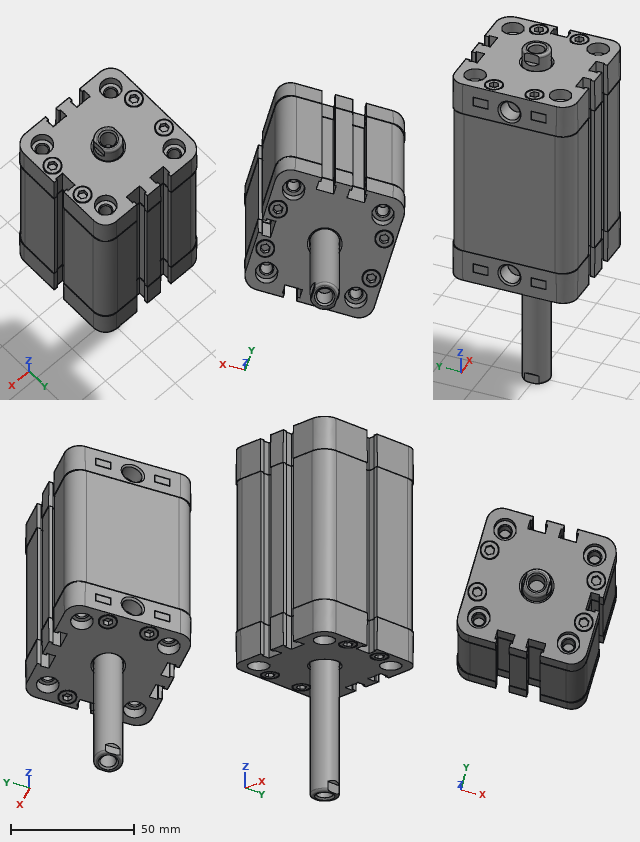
import cadquery as cq


total_length = 159.0
rod_stub_top = 6.8
rod_stub_bottom = 57.4
cap_height = 14.3
housing_top = total_length - rod_stub_top
housing_bottom = rod_stub_bottom
barrel_top = housing_top - cap_height
barrel_bottom = housing_bottom + cap_height
barrel_length = barrel_top - barrel_bottom

cap_width = 54.9
cap_corner_radius = 6.7
cap_draft = 0.7
barrel_width = 54.4
barrel_corner_radius = 7.0

slot_opening = 5.7
slot_inner_width = 6.8
slot_lip = 1.9
slot_floor = 22.1
cap_slot_clearance = 0.24
slot_spacing = 13.0
slot_overrun = 1.6

core_diameter = 40.0
cap_end_wall = 3.2

rod_diameter = 12.0
rod_tip_radius = 1.1
flat_width = 10.0
flat_length = 4.1
flat_overrun = 0.8
thread_diameter = 6.7
thread_depth = 12.0
thread_mouth_diameter = 8.3

rod_hole_diameter = 12.5
rod_hole_mouth_diameter = 14.0

mount_pitch = 37.8
mount_recess_diameter = 9.0
mount_recess_depth = 4.8
mount_thread_diameter = 5.0
mount_mouth_diameter = 5.9

screw_pitch_x = 45.0
screw_pitch_y = 18.0
screw_recess_diameter = 7.6
screw_face_diameter = 7.0
screw_groove_depth = 0.5
hex_across_corners = 4.1
hex_depth = 2.4

port_diameter = 8.6
port_mouth_diameter = 10.3
port_from_face = 8.0

label_length = 6.5
label_height = 4.0
label_spacing = 25.8
label_depth = 0.3


def slot_cutters(length, clearance):
    """Straight cutters for the five T-slots, standing on Z = 0, with clearance inside the lips."""
    face = cap_width / 2
    floor = slot_floor - clearance
    lip = face - slot_lip
    outside = face + slot_overrun
    half_opening = slot_opening / 2
    half_inner = slot_inner_width / 2 + clearance
    right_slot = (
        cq.Workplane("XY")
        .polyline([
            (floor, -half_inner),
            (lip, -half_inner),
            (lip, -half_opening),
            (outside, -half_opening),
            (outside, half_opening),
            (lip, half_opening),
            (lip, half_inner),
            (floor, half_inner),
        ])
        .close()
        .extrude(length)
    )
    cutters = [right_slot]
    for turn in (90, -90):
        turned_slot = right_slot.rotate((0, 0, 0), (0, 0, 1), turn)
        for x in (-slot_spacing / 2, slot_spacing / 2):
            cutters.append(turned_slot.translate((x, 0, 0)))
    return cutters


def slotted_block(width, corner_radius, length, draft, slot_clearance):
    """Square block with rounded corners, cut by the T-slots."""
    section = cq.Sketch().rect(width, width).vertices().fillet(corner_radius)
    block = cq.Workplane("XY").placeSketch(section).extrude(length, taper=draft)
    for cutter in slot_cutters(length, slot_clearance):
        block = block.cut(cutter)
    return block


def countersink(mouth_diameter, hole_diameter, face_z):
    """Cone at 45 degrees that narrows downwards from the face to the hole."""
    depth = (mouth_diameter - hole_diameter) / 2
    return cq.Solid.makeCone(
        mouth_diameter / 2, hole_diameter / 2, depth, pnt=cq.Vector(0, 0, face_z), dir=cq.Vector(0, 0, -1)
    )


def rod_passage():
    """Space for the core and the rod in a cap."""
    core_space = cq.Workplane("XY").circle(core_diameter / 2).extrude(cap_height - cap_end_wall)
    rod_hole = cq.Workplane("XY").circle(rod_hole_diameter / 2).extrude(cap_height)
    mouth = countersink(rod_hole_mouth_diameter, rod_hole_diameter, cap_height)
    return core_space.union(rod_hole).union(cq.Workplane(mouth))


def mounting_hole():
    """Countersunk threaded hole at the bottom of a round recess."""
    recess_floor = cap_height - mount_recess_depth
    thread = cq.Workplane("XY").circle(mount_thread_diameter / 2).extrude(cap_height)
    recess = (
        cq.Workplane("XY")
        .workplane(offset=recess_floor)
        .circle(mount_recess_diameter / 2)
        .extrude(mount_recess_depth)
    )
    mouth = countersink(mount_mouth_diameter, mount_thread_diameter, recess_floor)
    return thread.union(recess).union(cq.Workplane(mouth))


def screw_marking():
    """Groove around a flush screw head, with the chamfer of the head as inner wall, and its hex socket."""
    outer_radius = screw_recess_diameter / 2
    face_radius = screw_face_diameter / 2
    groove = (
        cq.Workplane("XZ")
        .moveTo(face_radius, cap_height)
        .lineTo(outer_radius, cap_height)
        .lineTo(outer_radius, cap_height - screw_groove_depth)
        .close()
        .revolve(360, (0, 0, 0), (0, 1, 0))
    )
    socket = (
        cq.Workplane("XY")
        .workplane(offset=cap_height - hex_depth)
        .transformed(rotate=(0, 0, 90))
        .polygon(6, hex_across_corners)
        .extrude(hex_depth)
    )
    return [groove, socket]


def air_port():
    """Countersunk cross hole from the -X face to the core."""
    side_face = -cap_width / 2
    chamfer = (port_mouth_diameter - port_diameter) / 2
    axis_z = cap_height - port_from_face
    hole = cq.Workplane("YZ", origin=(side_face, 0, axis_z)).circle(port_diameter / 2).extrude(cap_width / 2)
    mouth = cq.Solid.makeCone(
        port_mouth_diameter / 2,
        port_diameter / 2,
        chamfer,
        pnt=cq.Vector(side_face, 0, axis_z),
        dir=cq.Vector(1, 0, 0),
    )
    return hole.union(cq.Workplane(mouth))


def label_recesses():
    """Two shallow rectangular recesses beside the port."""
    return (
        cq.Workplane("YZ", origin=(-cap_width / 2, 0, cap_height / 2))
        .rarray(label_spacing, 1.6, 2, 1)
        .rect(label_length, label_height)
        .extrude(label_depth)
    )


def make_cap():
    """End cap with its joint face on Z = 0 and its outer face up."""
    cap = slotted_block(cap_width, cap_corner_radius, cap_height, cap_draft, cap_slot_clearance)
    cap = cap.cut(rod_passage())
    for side_x in (-1, 1):
        for side_y in (-1, 1):
            mount_place = (side_x * mount_pitch / 2, side_y * mount_pitch / 2, 0)
            cap = cap.cut(mounting_hole().translate(mount_place))
            screw_place = (side_x * screw_pitch_x / 2, side_y * screw_pitch_y / 2, 0)
            for cutter in screw_marking():
                cap = cap.cut(cutter.translate(screw_place))
    return cap.cut(air_port()).cut(label_recesses())


def make_barrel():
    """Slotted tube between the two caps."""
    barrel = slotted_block(barrel_width, barrel_corner_radius, barrel_length, draft=0, slot_clearance=0)
    bore = cq.Workplane("XY").circle(core_diameter / 2).extrude(barrel_length)
    return barrel.cut(bore).translate((0, 0, barrel_bottom))


def make_core():
    """Round core that fills the bore around the rod and closes the inner ends of the ports."""
    core_bottom = housing_bottom + cap_end_wall
    core_top = housing_top - cap_end_wall
    return (
        cq.Workplane("XY")
        .workplane(offset=core_bottom)
        .circle(core_diameter / 2)
        .circle(rod_diameter / 2)
        .extrude(core_top - core_bottom)
    )


def flat_cutter():
    """Cutter for the wrench flat on the +X side of the upper rod tip, with a 45 degree run-out."""
    half_flat = flat_width / 2
    outside = rod_diameter / 2 + flat_overrun
    flat_end = total_length - flat_length
    return (
        cq.Workplane("XZ")
        .polyline([
            (half_flat, total_length),
            (half_flat, flat_end),
            (outside, flat_end - (outside - half_flat)),
            (outside, total_length),
        ])
        .close()
        .extrude(rod_diameter / 2, both=True)
    )


def make_rod():
    """Through rod with the same rounded, flatted and threaded tip at both ends."""
    rod = cq.Workplane("XY").circle(rod_diameter / 2).extrude(total_length).edges().fillet(rod_tip_radius)
    thread = (
        cq.Workplane("XY")
        .workplane(offset=total_length - thread_depth)
        .circle(thread_diameter / 2)
        .extrude(thread_depth)
    )
    mouth = countersink(thread_mouth_diameter, thread_diameter, total_length)
    flat = flat_cutter()
    tip_cutters = [thread, cq.Workplane(mouth), flat, flat.mirror("YZ")]
    for cutter in tip_cutters:
        rod = rod.cut(cutter)
        rod = rod.cut(cutter.mirror("XY", (0, 0, total_length / 2)))
    return rod


barrel = make_barrel()
core = make_core()
rod = make_rod()
cap = make_cap()
upper_cap = cap.translate((0, 0, barrel_top))
lower_cap = cap.mirror("XY").translate((0, 0, barrel_bottom))

result = cq.Compound.makeCompound([
    barrel.val(),
    upper_cap.val(),
    lower_cap.val(),
    core.val(),
    rod.val(),
])